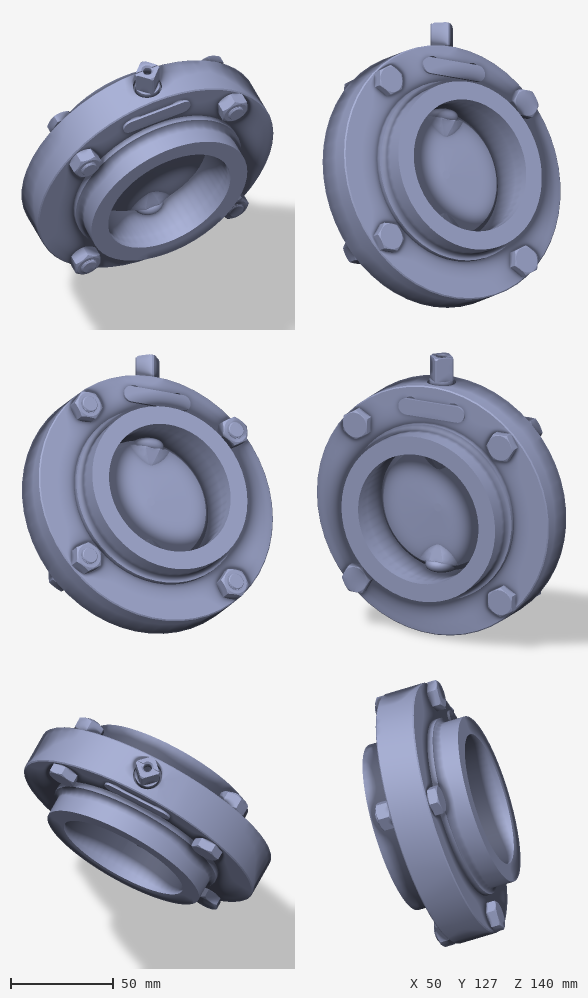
import cadquery as cq
import math


length = 50.0
bore_r = 66.0 / 2
neck_r = 84.1 / 2
hub_r = 89.5 / 2
hub_half_width = 12.7
hub_fillet = 2.2
flange_r = 127.0 / 2
flange_half_width = 10.0
flange_chamfer = 0.5

pad_length = 36.0
pad_height = 8.1
pad_thickness = 1.3
pad_z = 51.7
recess_d = 7.3
recess_depth = 1.1
recess_y = 11.6
recess_z = 53.2

disc_face_r = 30.4
disc_face_x = 2.8
disc_flat_r = 2.1
disc_flat_x = 4.0
boss_d = 16.0
boss_end_z = 27.2
boss_thickness = 5.6

skirt_base_x = 2.7
skirt_top_x = 6.2
skirt_top_z = 27.7
skirt_tip_z = 17.6
skirt_tip_half_width = 0.1
skirt_bulge_y = 7.0
skirt_bulge_z = 22.4
skirt_wide_half_width = 10.9
skirt_wide_z = 28.5
skirt_top_half_width = 3.8

bolt_offset = 39.6
hex_across_flats = 13.0
hex_chamfer_r = 6.3
washer_d = 11.3
washer_thickness = 0.7
head_height = 4.8
head_chamfer = 0.7
nut_height = 7.0
nut_base_chamfer = 0.8
nut_crown_height = 1.0
nut_crown_r = 12.0 / 2
collar_d = 8.5
collar_height = 0.4
bolt_d = 8.0
bolt_end = 18.0
bolt_chamfer = 0.4

overall_height = 140
stem_top = overall_height - flange_r
stem_d = 12.0
square_across_flats = 9.5
square_round_d = 12.5
square_bottom = 64.7
square_chamfer = 0.7
gland_d = 14.1
gland_bottom = 60.2
tapped_d = 4.2
tapped_depth = 5.6
countersink_d = 5.9
slot_width = 1.5
slot_depth = 0.7


def x_cylinder(radius, x_start, x_end):
    return cq.Workplane("YZ").workplane(offset=x_start).circle(radius).extrude(x_end - x_start)


def z_cylinder(radius, z_start, z_end):
    return cq.Workplane("XY").workplane(offset=z_start).circle(radius).extrude(z_end - z_start)


def make_body():
    """Tube with a stepped hub, concave fillets at the hub and a chamfered flange."""
    half = length / 2
    fillet_end_x = hub_half_width + hub_fillet
    fillet_top_r = neck_r + hub_fillet
    arc_inset = hub_fillet * (1 - math.sqrt(0.5))
    arc_x = hub_half_width + arc_inset
    arc_r = neck_r + arc_inset
    profile = (
        cq.Workplane("XY")
        .moveTo(-half, bore_r)
        .lineTo(-half, neck_r)
        .lineTo(-fillet_end_x, neck_r)
        .threePointArc((-arc_x, arc_r), (-hub_half_width, fillet_top_r))
        .lineTo(-hub_half_width, hub_r)
        .lineTo(hub_half_width, hub_r)
        .lineTo(hub_half_width, fillet_top_r)
        .threePointArc((arc_x, arc_r), (fillet_end_x, neck_r))
        .lineTo(half, neck_r)
        .lineTo(half, bore_r)
        .close()
    )
    tube = profile.revolve(360, (0, 0, 0), (1, 0, 0))
    flange = x_cylinder(flange_r, -flange_half_width, flange_half_width)
    flange = flange.edges().chamfer(flange_chamfer)
    recess_floor = flange_half_width - recess_depth
    for x_start in (-flange_half_width, recess_floor):
        recesses = (
            cq.Workplane("YZ")
            .workplane(offset=x_start)
            .pushPoints([(-recess_y, recess_z), (recess_y, recess_z)])
            .circle(recess_d / 2)
            .extrude(recess_depth)
        )
        flange = flange.cut(recesses)
    flange = flange.cut(x_cylinder(bore_r, -flange_half_width, flange_half_width))
    return tube.union(flange)


def make_pads():
    """One obround bar through the flange forms the raised pads on both faces."""
    pad_x = flange_half_width + pad_thickness
    return (
        cq.Workplane("YZ")
        .workplane(offset=-pad_x)
        .center(0, pad_z)
        .slot2D(pad_length, pad_height)
        .extrude(2 * pad_x)
    )


def make_boss():
    """Round-rimmed +Z boss, carried into the body wall by a pivot."""
    rim_radius = boss_thickness / 2
    pivot_r = boss_d / 2 - rim_radius
    boss_outer_z = boss_end_z + boss_thickness
    boss = (
        cq.Workplane("XZ")
        .moveTo(0, boss_end_z)
        .lineTo(pivot_r, boss_end_z)
        .threePointArc((boss_d / 2, boss_end_z + rim_radius), (pivot_r, boss_outer_z))
        .lineTo(pivot_r, neck_r)
        .lineTo(0, neck_r)
        .close()
    )
    return boss.revolve(360, (0, 0, 0), (0, 1, 0))


def make_skirt():
    """Flare on the -X side of the +Z boss, from a petal on the disc to a short ridge at the boss."""
    ridge = [
        (-skirt_top_half_width, skirt_top_z),
        (-skirt_top_half_width, boss_end_z),
        (skirt_top_half_width, boss_end_z),
        (skirt_top_half_width, skirt_top_z),
    ]
    return (
        cq.Workplane("YZ")
        .workplane(offset=-skirt_base_x)
        .moveTo(-skirt_wide_half_width, skirt_wide_z)
        .threePointArc((-skirt_bulge_y, skirt_bulge_z), (-skirt_tip_half_width, skirt_tip_z))
        .lineTo(skirt_tip_half_width, skirt_tip_z)
        .threePointArc((skirt_bulge_y, skirt_bulge_z), (skirt_wide_half_width, skirt_wide_z))
        .close()
        .workplane(offset=skirt_base_x - skirt_top_x)
        .polyline(ridge)
        .close()
        .loft(ruled=True)
    )


def make_disc():
    """Double-cone disc that meets the bore at its rim, with hinge bosses at +Z and -Z."""
    disc = (
        cq.Workplane("XY")
        .polyline([
            (-disc_flat_x, 0),
            (-disc_flat_x, disc_flat_r),
            (-disc_face_x, disc_face_r),
            (0, bore_r),
            (disc_face_x, disc_face_r),
            (disc_flat_x, disc_flat_r),
            (disc_flat_x, 0),
        ])
        .close()
        .revolve(360, (0, 0, 0), (1, 0, 0))
    )
    hinge = make_boss()
    skirt = make_skirt()
    hinge = hinge.union(skirt).union(skirt.mirror("YZ"))
    envelope = x_cylinder((bore_r + neck_r) / 2, -length / 2, length / 2)
    hinge = hinge.intersect(envelope)
    return disc.union(hinge).union(hinge.mirror("XY"))


def hexagon(x_start, x_end, turn):
    """Hexagonal prism along X, turned about its own axis."""
    prism = (
        cq.Workplane("YZ")
        .workplane(offset=x_start)
        .polygon(6, hex_across_flats / math.cos(math.pi / 6))
        .extrude(x_end - x_start)
    )
    return prism.rotate((0, 0, 0), (1, 0, 0), turn)


def round_envelope(points):
    """Solid of revolution about X from (x, radius) points that outline its rim."""
    outline = [(points[0][0], 0)] + points + [(points[-1][0], 0)]
    return cq.Workplane("XY").polyline(outline).close().revolve(360, (0, 0, 0), (1, 0, 0))


def make_bolt(turn):
    """Hexagon bolt on the X axis with its head at -X and its nut at +X."""
    corner_r = hex_across_flats / 2 / math.cos(math.pi / 6)
    head_inner = -flange_half_width - washer_thickness
    head_outer = head_inner - head_height
    head = hexagon(head_outer, head_inner, turn).intersect(round_envelope([
        (head_outer, hex_chamfer_r),
        (head_outer + head_chamfer, corner_r),
        (head_inner, corner_r),
    ]))
    nut_inner = flange_half_width
    nut_outer = nut_inner + nut_height
    nut = hexagon(nut_inner, nut_outer, turn).intersect(round_envelope([
        (nut_inner, hex_chamfer_r),
        (nut_inner + nut_base_chamfer, corner_r),
        (nut_outer - nut_crown_height, corner_r),
        (nut_outer, nut_crown_r),
    ]))
    washer = x_cylinder(washer_d / 2, head_inner, -flange_half_width)
    collar = x_cylinder(collar_d / 2, nut_outer, nut_outer + collar_height)
    shank = x_cylinder(bolt_d / 2, head_inner, bolt_end).faces(">X").edges().chamfer(bolt_chamfer)
    return shank.union(head).union(washer).union(nut).union(collar)


def make_stem():
    """Stem with a corner-rounded square, set diagonally, and a slotted, tapped top."""
    square = (
        cq.Workplane("XY")
        .workplane(offset=square_bottom)
        .rect(square_across_flats, square_across_flats)
        .extrude(stem_top - square_bottom)
        .rotate((0, 0, 0), (0, 0, 1), 45)
    )
    rounding = z_cylinder(square_round_d / 2, square_bottom, stem_top)
    square = square.intersect(rounding.faces(">Z").edges().chamfer(square_chamfer))
    stem = z_cylinder(stem_d / 2, gland_bottom, square_bottom).union(square)
    slot = (
        cq.Workplane("XY")
        .workplane(offset=stem_top - slot_depth)
        .rect(slot_width, square_round_d)
        .extrude(slot_depth)
    )
    tapped_r = tapped_d / 2
    countersink_r = countersink_d / 2
    tapped_hole = (
        cq.Workplane("XZ")
        .polyline([
            (0, stem_top),
            (countersink_r, stem_top),
            (tapped_r, stem_top - (countersink_r - tapped_r)),
            (tapped_r, stem_top - tapped_depth),
            (0, stem_top - tapped_depth - tapped_r),
        ])
        .close()
        .revolve(360, (0, 0, 0), (0, 1, 0))
    )
    return stem.cut(slot).cut(tapped_hole)


result = make_body().union(make_pads()).union(make_disc())
result = result.cut(z_cylinder(gland_d / 2, gland_bottom, flange_r))

for y_sign in (-1, 1):
    for z_sign in (-1, 1):
        bolt_turn = 30 if y_sign == z_sign else 0
        bolt = make_bolt(bolt_turn).translate((0, y_sign * bolt_offset, z_sign * bolt_offset))
        result = result.union(bolt)

result = result.union(make_stem())